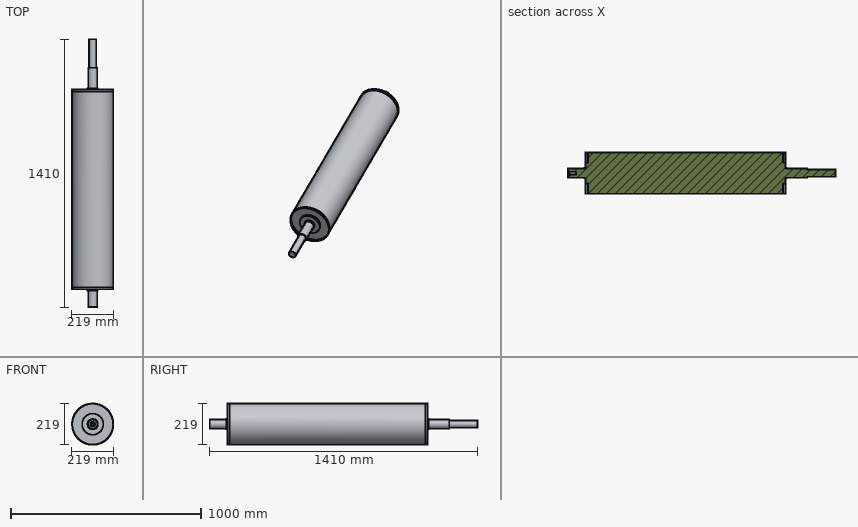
import cadquery as cq
import math

overall_length = 1410.0
front_end = -overall_length / 2
back_end = overall_length / 2

drum_diameter = 219.0
recess_diameter = 215.0
recess_depth = 13.0
front_journal_length = 93.0
back_shaft_length = 264.0
drum_front = front_end + front_journal_length
drum_back = back_end - back_shaft_length

hub_diameter = 111.0
hub_height = 11.0
collar_diameter = 55.0
collar_projection = 5.0

journal_diameter = 50.0
drive_diameter = 40.0
drive_length = 150.0

cone_angle = 60.0
cone_mouth_diameter = 25.0
relief_diameter = 17.0
relief_length = 3.0
drill_diameter = 13.8
centre_hole_depth = 42.0


def cylinder(diameter, y_start, y_end):
    """Solid cylinder on the Y axis between two Y positions."""
    section = cq.Workplane("XZ", origin=(0, y_start, 0)).circle(diameter / 2)
    return section.extrude(y_start - y_end)


def make_drum():
    """Drum with a shallow recess and a raised hub at each end."""
    plate_front = drum_front + recess_depth
    plate_back = drum_back - recess_depth
    drum = cylinder(drum_diameter, drum_front, drum_back)
    drum = drum.cut(cylinder(recess_diameter, drum_front, plate_front))
    drum = drum.cut(cylinder(recess_diameter, plate_back, drum_back))
    return drum.union(cylinder(hub_diameter, plate_front - hub_height, plate_back + hub_height))


def make_shaft():
    """Stepped shaft with collars beside the drum and a narrower drive end."""
    drive_start = back_end - drive_length
    shaft = cylinder(journal_diameter, front_end, drive_start)
    shaft = shaft.union(cylinder(drive_diameter, drive_start, back_end))
    collar = cylinder(collar_diameter, drum_front - collar_projection, drum_back + collar_projection)
    return shaft.union(collar)


def make_centre_hole():
    """Blind stepped hole with a conical mouth."""
    cone_depth = (cone_mouth_diameter - relief_diameter) / 2 / math.tan(math.radians(cone_angle / 2))
    cone_bottom = front_end + cone_depth
    relief_bottom = cone_bottom + relief_length
    hole_bottom = front_end + centre_hole_depth
    profile = (
        cq.Workplane("XY")
        .moveTo(0, front_end)
        .lineTo(cone_mouth_diameter / 2, front_end)
        .lineTo(relief_diameter / 2, cone_bottom)
        .lineTo(relief_diameter / 2, relief_bottom)
        .lineTo(drill_diameter / 2, relief_bottom)
        .lineTo(drill_diameter / 2, hole_bottom)
        .lineTo(0, hole_bottom)
        .close()
    )
    return profile.revolve(360, (0, 0, 0), (0, 1, 0))


result = make_drum().union(make_shaft()).cut(make_centre_hole())